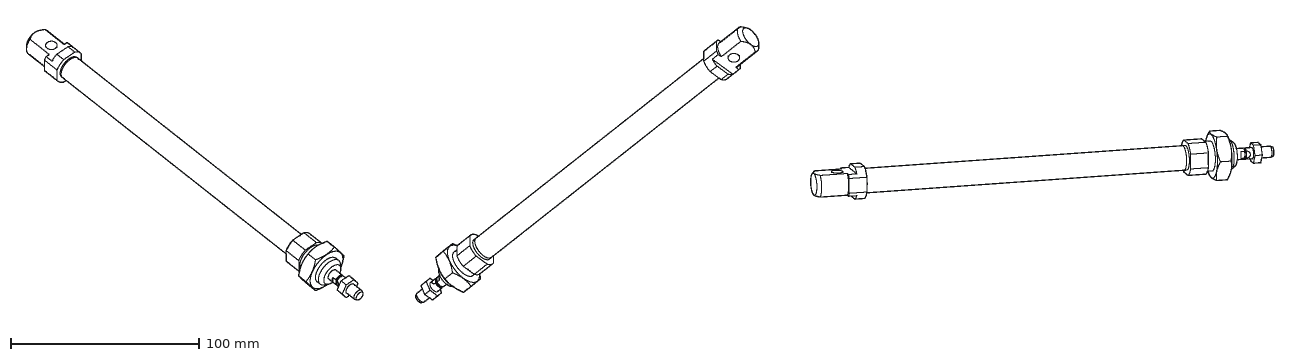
import cadquery as cq
import math


EYE_DIAMETER = 16.0
EYE_THICKNESS = 12.0
EYE_CHAMFER = 2.0
EYE_HOLE_DIAMETER = 6.0
EYE_HOLE_X = 13.0
EYE_FLAT_END = 21.5
REAR_BLOCK_START = 17.0
REAR_BLOCK_END = 27.0

BLOCK_WIDTH = 17.5
BLOCK_CORNER_DIAMETER = 19.3

BARREL_DIAMETER = 13.2
BARREL_START = 27.7
BARREL_END = 204.5

FRONT_BLOCK_START = 206.0
FRONT_BLOCK_END = 216.0
NOSE_DIAMETER = 16.0
NOSE_END = 232.7
NOSE_CHAMFER_LENGTH = 2.3
NOSE_CHAMFER_DEPTH = 1.8

MOUNTING_NUT_START = 220.0
MOUNTING_NUT_THICKNESS = 8.1
MOUNTING_NUT_FLATS = 24.0
MOUNTING_NUT_FACE_DIAMETER = 23.5
NUT_CHAMFER_ANGLE = 30

ROD_DIAMETER = 6.0
ROD_END = 254.0
ROD_CHAMFER_LENGTH = 1.3
ROD_CHAMFER_DEPTH = 0.5
WRENCH_FLAT_START = 235.7
WRENCH_FLAT_END = 240.8
WRENCH_FLATS = 4.8
WRENCH_RUNOUT_RADIUS = 3.0
GROOVE_START = 238.0
GROOVE_WIDTH = 0.8
GROOVE_DEPTH = 0.8

LOCK_NUT_START = 242.5
LOCK_NUT_THICKNESS = 4.0
LOCK_NUT_FLATS = 10.0


def section(x):
    """Sketch plane across the axis at x, with local x along +Y and local y along +Z."""
    return cq.Workplane("YZ", origin=(x, 0, 0))


def cylinder(start, end, diameter):
    return section(start).circle(diameter / 2).extrude(end - start)


def chamfered_end(shaft, length, depth):
    """Chamfer the +X end of a shaft by a length along the axis and a depth across it."""
    return shaft.faces(">X").chamfer(length, depth)


def square_block(start, end):
    """Square block with its corners turned round about the axis."""
    square = section(start).rect(BLOCK_WIDTH, BLOCK_WIDTH).extrude(end - start)
    return square.intersect(cylinder(start, end, BLOCK_CORNER_DIAMETER))


def hex_corner_radius(flats):
    return flats / 2 / math.cos(math.pi / 6)


def hex_prism(start, thickness, flats):
    """Hexagon with corners on +Y and -Y and flats on top and bottom."""
    return section(start).polygon(6, 2 * hex_corner_radius(flats)).extrude(thickness)


def make_rear_cap():
    eye = cylinder(0, EYE_FLAT_END, EYE_DIAMETER).faces("<X").chamfer(EYE_CHAMFER)
    block = square_block(REAR_BLOCK_START, REAR_BLOCK_END)
    neck = cylinder(REAR_BLOCK_END, BARREL_START, BARREL_DIAMETER)
    cap = eye.union(block).union(neck)

    for side in (-1, 1):
        flat_cut = (
            cq.Workplane("XY")
            .box(EYE_FLAT_END, BLOCK_CORNER_DIAMETER, BLOCK_WIDTH)
            .translate((EYE_FLAT_END / 2, 0, side * (EYE_THICKNESS + BLOCK_WIDTH) / 2))
        )
        cap = cap.cut(flat_cut)

    hole = (
        cq.Workplane("XY")
        .center(EYE_HOLE_X, 0)
        .circle(EYE_HOLE_DIAMETER / 2)
        .extrude(EYE_THICKNESS, both=True)
    )
    return cap.cut(hole)


def make_barrel():
    return cylinder(BARREL_START, BARREL_END, BARREL_DIAMETER)


def make_bearing_cap():
    neck = cylinder(BARREL_END, FRONT_BLOCK_START, BARREL_DIAMETER)
    block = square_block(FRONT_BLOCK_START, FRONT_BLOCK_END)
    nose = chamfered_end(
        cylinder(FRONT_BLOCK_END, NOSE_END, NOSE_DIAMETER), NOSE_CHAMFER_LENGTH, NOSE_CHAMFER_DEPTH
    )
    rod_bore = cylinder(BARREL_END, NOSE_END, ROD_DIAMETER)
    return neck.union(block).union(nose).cut(rod_bore)


def make_mounting_nut():
    end = MOUNTING_NUT_START + MOUNTING_NUT_THICKNESS
    nut = hex_prism(MOUNTING_NUT_START, MOUNTING_NUT_THICKNESS, MOUNTING_NUT_FLATS)

    corner_radius = hex_corner_radius(MOUNTING_NUT_FLATS)
    face_radius = MOUNTING_NUT_FACE_DIAMETER / 2
    chamfer_length = (corner_radius - face_radius) * math.tan(math.radians(NUT_CHAMFER_ANGLE))
    envelope = (
        cq.Workplane("XY")
        .moveTo(MOUNTING_NUT_START, 0)
        .lineTo(MOUNTING_NUT_START, face_radius)
        .lineTo(MOUNTING_NUT_START + chamfer_length, corner_radius)
        .lineTo(end - chamfer_length, corner_radius)
        .lineTo(end, face_radius)
        .lineTo(end, 0)
        .close()
        .revolve(360, (0, 0, 0), (1, 0, 0))
    )
    return nut.intersect(envelope).cut(cylinder(MOUNTING_NUT_START, end, NOSE_DIAMETER))


def make_rod():
    rod = chamfered_end(
        cylinder(BARREL_END, ROD_END, ROD_DIAMETER), ROD_CHAMFER_LENGTH, ROD_CHAMFER_DEPTH
    )

    flat_depth = (ROD_DIAMETER - WRENCH_FLATS) / 2
    runout_length = math.sqrt(WRENCH_RUNOUT_RADIUS**2 - (WRENCH_RUNOUT_RADIUS - flat_depth) ** 2)
    runout_angle = math.acos(1 - flat_depth / WRENCH_RUNOUT_RADIUS) / 2
    flat_cut = (
        cq.Workplane("XY", origin=(0, 0, -ROD_DIAMETER / 2))
        .moveTo(WRENCH_FLAT_START, ROD_DIAMETER / 2)
        .lineTo(WRENCH_FLAT_START, WRENCH_FLATS / 2)
        .lineTo(WRENCH_FLAT_END - runout_length, WRENCH_FLATS / 2)
        .threePointArc(
            (
                WRENCH_FLAT_END - runout_length + WRENCH_RUNOUT_RADIUS * math.sin(runout_angle),
                WRENCH_FLATS / 2 + WRENCH_RUNOUT_RADIUS * (1 - math.cos(runout_angle)),
            ),
            (WRENCH_FLAT_END, ROD_DIAMETER / 2),
        )
        .close()
        .extrude(ROD_DIAMETER)
    )
    rod = rod.cut(flat_cut).cut(flat_cut.mirror("XZ"))

    groove_end = GROOVE_START + GROOVE_WIDTH
    groove_core = cylinder(GROOVE_START, groove_end, ROD_DIAMETER - 2 * GROOVE_DEPTH)
    groove = cylinder(GROOVE_START, groove_end, ROD_DIAMETER).cut(groove_core)
    return rod.cut(groove)


def make_lock_nut():
    end = LOCK_NUT_START + LOCK_NUT_THICKNESS
    nut = hex_prism(LOCK_NUT_START, LOCK_NUT_THICKNESS, LOCK_NUT_FLATS)
    return nut.cut(cylinder(LOCK_NUT_START, end, ROD_DIAMETER))


rear_cap = make_rear_cap()
barrel = make_barrel()
bearing_cap = make_bearing_cap()
mounting_nut = make_mounting_nut()
rod = make_rod()
lock_nut = make_lock_nut()

result = cq.Compound.makeCompound(
    [
        rear_cap.val(),
        barrel.val(),
        bearing_cap.val(),
        mounting_nut.val(),
        rod.val(),
        lock_nut.val(),
    ]
)